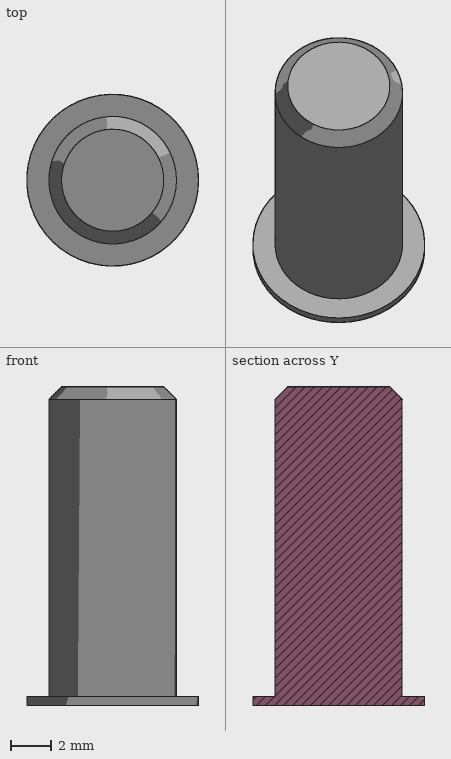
import cadquery as cq

total_height = 15.88
pin_diameter = 6.35
flange_diameter = 8.56
flange_thickness = 0.46

chamfer_size = 0.635


def make_flange():
    """Thin round flange resting on the Z = 0 plane."""
    return cq.Workplane("XY").circle(flange_diameter / 2).extrude(flange_thickness)


def make_pin():
    """Full-height cylindrical pin with a chamfered top edge."""
    pin = cq.Workplane("XY").circle(pin_diameter / 2).extrude(total_height)
    return pin.faces(">Z").edges().chamfer(chamfer_size)


result = make_flange().union(make_pin())